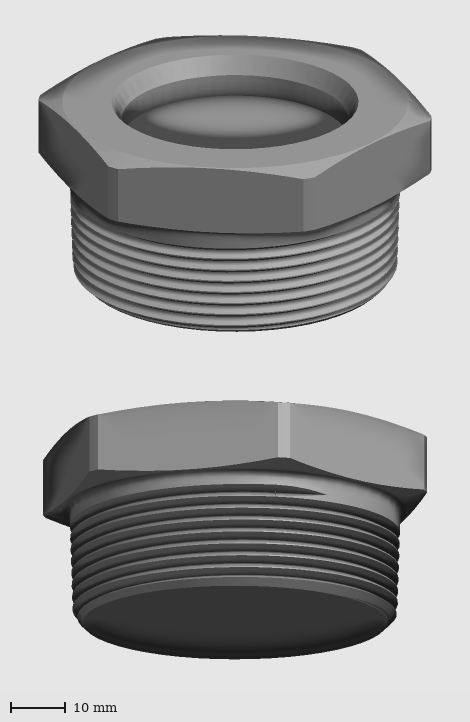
import cadquery as cq
import math

TOTAL_HEIGHT = 33.8
ACROSS_FLATS = 63.5
ACROSS_CORNERS = 72.05

HEAD_SIDES = 6
HEAD_HEIGHT = 12.75
HEAD_FACE_RADIUS = 31.5
HEAD_CHAMFER_ANGLE = 15.0
HEAD_BOTTOM = TOTAL_HEIGHT - HEAD_HEIGHT

SHANK_TOP_RADIUS = 30.2
SHANK_FILLET = 1.0
SHANK_END_CHAMFER = 1.8
TAPER = 1 / 32
SHANK_END_RADIUS = SHANK_TOP_RADIUS - TAPER * HEAD_BOTTOM

PITCH = 2.21
THREAD_DEPTH = 1.7
FLANK_ANGLE = 30.0
GROOVE_TOP = 17.6
GROOVE_TURNS = 8
GROOVE_OVERSHOOT = 0.15
RUNOUT_LENGTH = 14.4

BORE_RADIUS = 20.6
BORE_RIM_RADIUS = 22.5
RIM_CHAMFER_DEPTH = 3.25
WINDOW_RECESS = 7.3
WINDOW_TOP = TOTAL_HEIGHT - WINDOW_RECESS


def make_head():
    """Hexagon with corners on the X axis, rounded at the corners and chamfered on both faces."""
    hexagon = (
        cq.Workplane("XY")
        .workplane(offset=HEAD_BOTTOM)
        .polygon(HEAD_SIDES, ACROSS_FLATS / math.cos(math.pi / HEAD_SIDES))
        .extrude(HEAD_HEIGHT)
    )
    corner_radius = ACROSS_CORNERS / 2
    drop = (corner_radius - HEAD_FACE_RADIUS) * math.tan(math.radians(HEAD_CHAMFER_ANGLE))
    turned_blank = (
        cq.Workplane("XZ")
        .moveTo(0, HEAD_BOTTOM)
        .lineTo(HEAD_FACE_RADIUS, HEAD_BOTTOM)
        .lineTo(corner_radius, HEAD_BOTTOM + drop)
        .lineTo(corner_radius, TOTAL_HEIGHT - drop)
        .lineTo(HEAD_FACE_RADIUS, TOTAL_HEIGHT)
        .lineTo(0, TOTAL_HEIGHT)
        .close()
        .revolve(360, (0, 0), (0, 1))
    )
    return hexagon.intersect(turned_blank)


def make_shank():
    """Tapered shank with a chamfered lower end and a fillet flaring into the head."""
    fillet_foot = HEAD_BOTTOM - SHANK_FILLET
    fillet_foot_radius = SHANK_TOP_RADIUS - TAPER * SHANK_FILLET
    mid_offset = SHANK_FILLET * (1 - math.sqrt(0.5))
    return (
        cq.Workplane("XZ")
        .lineTo(SHANK_END_RADIUS - SHANK_END_CHAMFER, 0)
        .lineTo(SHANK_END_RADIUS + TAPER * SHANK_END_CHAMFER, SHANK_END_CHAMFER)
        .lineTo(fillet_foot_radius, fillet_foot)
        .threePointArc(
            (fillet_foot_radius + mid_offset, HEAD_BOTTOM - mid_offset),
            (fillet_foot_radius + SHANK_FILLET, HEAD_BOTTOM),
        )
        .lineTo(0, HEAD_BOTTOM)
        .close()
        .revolve(360, (0, 0), (0, 1))
    )


def make_thread_groove():
    """V groove swept down a tapered helix that ends on the -X side, plus its straight runout."""
    helix_height = PITCH * GROOVE_TURNS
    helix_bottom = GROOVE_TOP - helix_height
    root_top_radius = SHANK_TOP_RADIUS - TAPER * (HEAD_BOTTOM - GROOVE_TOP) - THREAD_DEPTH
    root_bottom_radius = root_top_radius - TAPER * helix_height
    cut_depth = THREAD_DEPTH + GROOVE_OVERSHOOT
    half_width = cut_depth * math.tan(math.radians(FLANK_ANGLE))

    def v_profile(root_radius, z):
        root = cq.Vector(-root_radius, 0, z)
        lower = cq.Vector(-root_radius - cut_depth, 0, z - half_width)
        upper = cq.Vector(-root_radius - cut_depth, 0, z + half_width)
        return cq.Wire.makePolygon([root, lower, upper], close=True)

    cone_angle = math.degrees(math.atan(TAPER))
    helix = cq.Wire.makeHelix(PITCH, helix_height, root_bottom_radius, angle=cone_angle)
    helix = helix.rotate(cq.Vector(0, 0, 0), cq.Vector(0, 0, 1), 180)
    helix = helix.translate(cq.Vector(0, 0, helix_bottom))
    start = v_profile(root_bottom_radius, helix_bottom)
    coil = cq.Solid.sweep(start, [], helix, makeSolid=True, isFrenet=True)

    end = v_profile(root_top_radius, GROOVE_TOP)
    rise = RUNOUT_LENGTH * PITCH / (2 * math.pi * root_top_radius)
    runout = cq.Solid.extrudeLinear(end, [], cq.Vector(0, -RUNOUT_LENGTH, rise))
    return coil, runout


def make_bore():
    """Through bore with a conical rim at the top."""
    rim_foot = TOTAL_HEIGHT - RIM_CHAMFER_DEPTH
    return (
        cq.Workplane("XZ")
        .lineTo(BORE_RADIUS, 0)
        .lineTo(BORE_RADIUS, rim_foot)
        .lineTo(BORE_RIM_RADIUS, TOTAL_HEIGHT)
        .lineTo(0, TOTAL_HEIGHT)
        .close()
        .revolve(360, (0, 0), (0, 1))
    )


def make_housing():
    """Hexagonal head on a threaded shank, bored through."""
    shank = make_shank()
    for groove in make_thread_groove():
        shank = shank.cut(cq.Workplane(groove))
    return make_head().union(shank).cut(make_bore())


def make_window():
    """Window disc that fills the bore below its exposed face."""
    return cq.Workplane("XY").circle(BORE_RADIUS).extrude(WINDOW_TOP)


housing = make_housing()
window = make_window()
result = cq.Compound.makeCompound([housing.val(), window.val()])